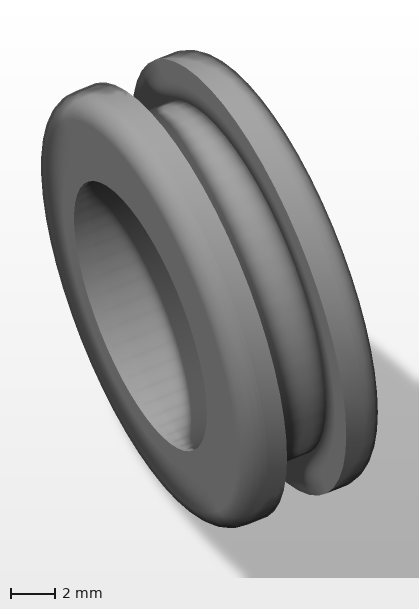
import cadquery as cq

outer_diameter = 21.0
groove_diameter = 17.0
bore_diameter = 13.0
total_width = 7.0
flange_width = 2.0
edge_radius = 1.0

groove_width = total_width - 2 * flange_width


def disc(diameter, width):
    """Solid disc on the Y axis, centred on the origin."""
    return cq.Workplane("XZ", origin=(0, width / 2, 0)).circle(diameter / 2).extrude(width)


body = disc(outer_diameter, total_width).edges("%CIRCLE").fillet(edge_radius)

groove = disc(outer_diameter, groove_width).cut(disc(groove_diameter, groove_width))

bore = disc(bore_diameter, total_width)

result = body.cut(groove).cut(bore)